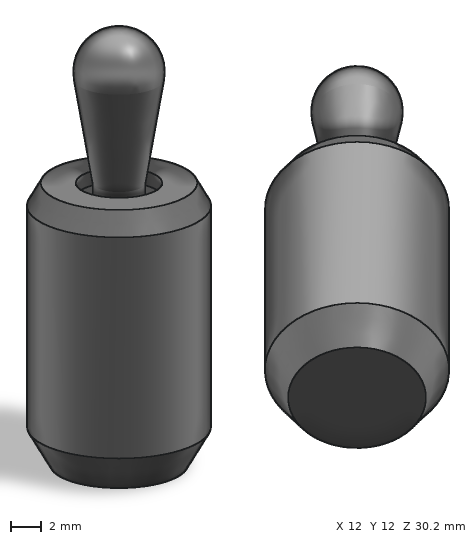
import cadquery as cq
import math

total_height = 30.2
body_height = 19.5
body_diameter = 12.0
body_radius = body_diameter / 2

chamfer_angle = math.radians(30)
top_chamfer_width = 0.9
bottom_chamfer_width = 1.5
top_chamfer_height = top_chamfer_width / math.tan(chamfer_angle)
bottom_chamfer_height = bottom_chamfer_width / math.tan(chamfer_angle)

bore_radius = 2.8
bore_depth = 1.0
socket_depth = 2.42

stem_radius = 1.72
ball_radius = 3.0
neck_base_height = body_height
ball_center_height = total_height - ball_radius
bore_floor_height = body_height - bore_depth
pin_bottom_height = bore_floor_height - socket_depth

neck_length = ball_center_height - neck_base_height
neck_reach = math.hypot(neck_length, stem_radius)
neck_tilt = math.asin(ball_radius / neck_reach) - math.atan2(stem_radius, neck_length)
tangent_radius = ball_radius * math.cos(neck_tilt)
tangent_height = ball_center_height - ball_radius * math.sin(neck_tilt)


def make_housing():
    """Cylindrical housing with chamfered ends, a bore and a pin socket."""
    profile = (
        cq.Workplane("XZ")
        .moveTo(0, 0)
        .lineTo(body_radius - bottom_chamfer_width, 0)
        .lineTo(body_radius, bottom_chamfer_height)
        .lineTo(body_radius, body_height - top_chamfer_height)
        .lineTo(body_radius - top_chamfer_width, body_height)
        .lineTo(bore_radius, body_height)
        .lineTo(bore_radius, bore_floor_height)
        .lineTo(stem_radius, bore_floor_height)
        .lineTo(stem_radius, pin_bottom_height)
        .lineTo(0, pin_bottom_height)
        .close()
    )
    return profile.revolve(360, (0, 0, 0), (0, 1, 0))


def make_pin():
    """Ball-headed pin whose stem fills the housing socket."""
    arc_angle = (math.pi / 2 - neck_tilt) / 2
    arc_middle = (
        ball_radius * math.cos(arc_angle),
        ball_center_height + ball_radius * math.sin(arc_angle),
    )
    profile = (
        cq.Workplane("XZ")
        .moveTo(0, pin_bottom_height)
        .lineTo(stem_radius, pin_bottom_height)
        .lineTo(stem_radius, neck_base_height)
        .lineTo(tangent_radius, tangent_height)
        .threePointArc(arc_middle, (0, total_height))
        .close()
    )
    return profile.revolve(360, (0, 0, 0), (0, 1, 0))


housing = make_housing()
pin = make_pin()
result = cq.Compound.makeCompound([housing.val(), pin.val()])